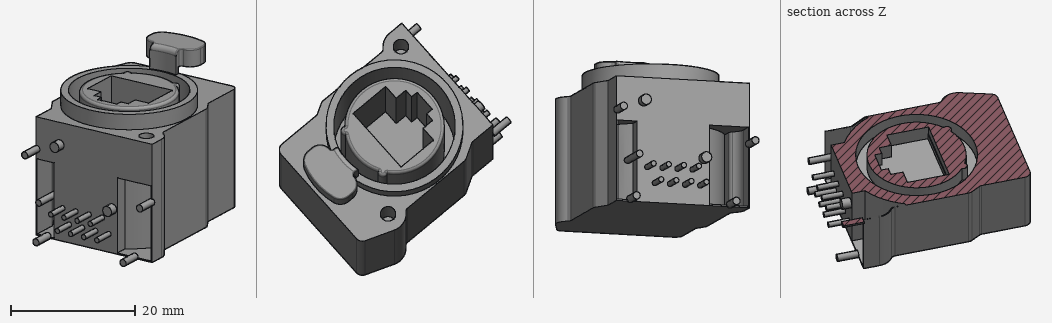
import cadquery as cq
import math


body_height = 20.34
front_y = -12.55
back_y = 16.43
front_left_x = -9.63
side_x = 11.22
back_right_x = 10.06
left_step_y = -8.15
right_step_y = 5.76
step_angle = 30
slant_angle = 20
back_corner_radius = 1.25
step_narrow_radius = 0.65
step_wide_radius = 1.2

ear_offset = 9.89
ear_radius = 2.89
ear_blend_radius = 0.8
ear_hole_diameter = 2.45
ear_hole_depth = 6.0

ring_height = 2.65
ring_radius = 11.0
ring_bore_radius = 9.75
core_radius = 8.0
core_rim_radius = 0.5
shell_depth = 15.0
key_radius = 0.75
key_orbit = 7.88
key_angle = 35.5
jack_top_y = 3.7
jack_ledge = 0.1
jack_ledge_height = 1.0
jack_steps = [(5.9, -3.2), (3.3, -5.23), (1.86, -6.4)]

lever_top_z = 6.79
button_thickness = 3.0
button_half_width = 5.0
button_back_y = 16.53
button_back_radius = 11.0
button_corner_radius = 2.08
button_side_back_y = 14.0
button_side_front_y = 13.16
button_front_radius = 2.0
neck_half_width = 2.54
neck_blend_radius = 0.5
stem_inner_radius = 10.1
stem_outer_radius = 10.8
lever_bend_radius = 0.9
button_edge_radius = 0.15

wall = 0.24
pocket_top_z = -7.2
pocket_core_radius = 12.0
left_pocket_end_x = -6.17
right_pocket_end_x = 6.05

pitch = 2.54
pin_length = 3.5
contact_diameter = 0.86
contact_first_x = -4.46
contact_rows_z = (-14.62, -17.16)
contact_count = 8
shield_diameter = 1.2
shield_low_z = -19.99
shield_places = [(-9.48, -5.5), (12.67, -9.94), (-7.32, shield_low_z), (9.46, shield_low_z)]
pocket_pin_diameter = 1.1
pocket_pin_place = (-6.82, -13.13)
peg_diameter = 1.7
peg_length = 1.5
peg_places = [(-2 * pitch, -3.84), (2 * pitch, -12.7)]

overlap = 1.0


def toward(start, end, distance):
    """Point at a distance from start in the direction of end."""
    length = math.dist(start, end)
    return tuple(s + (e - s) * distance / length for s, e in zip(start, end))


def polar(center, radius, degrees):
    angle = math.radians(degrees)
    return (center[0] + radius * math.cos(angle), center[1] + radius * math.sin(angle))


def angle_to(center, point):
    return math.degrees(math.atan2(point[1] - center[1], point[0] - center[0]))


def opposite(point):
    return (-point[0], -point[1])


def rounded_corner(path, before, corner, after, radius):
    """Line up to the corner, then an arc of the given radius around it."""
    to_before = angle_to(corner, before)
    to_after = angle_to(corner, after)
    half = abs((to_after - to_before + 180) % 360 - 180) / 2
    tangent = radius / math.tan(math.radians(half))
    start = toward(corner, before, tangent)
    end = toward(corner, after, tangent)
    chord_middle = ((start[0] + end[0]) / 2, (start[1] + end[1]) / 2)
    middle = toward(corner, chord_middle, radius / math.sin(math.radians(half)) - radius)
    return path.lineTo(*start).threePointArc(middle, end)


def body_outline(front):
    """Housing outline, with its straight front edge at the given y."""
    step_slope = math.tan(math.radians(step_angle))
    ear = (-ear_offset, ear_offset)

    left_low = (front_left_x, left_step_y)
    left_high = (-side_x, left_step_y + (side_x + front_left_x) / step_slope)
    right_low = (side_x, right_step_y)
    right_high = (back_right_x, right_step_y + (side_x - back_right_x) / step_slope)

    blend_x = -side_x - ear_blend_radius
    blend_rise = math.sqrt((ear_radius + ear_blend_radius) ** 2 - (blend_x - ear[0]) ** 2)
    blend = (blend_x, ear[1] - blend_rise)
    blend_side = (-side_x, blend[1])
    blend_ear = toward(blend, ear, ear_blend_radius)
    blend_middle = polar(blend, ear_blend_radius, angle_to(blend, blend_ear) / 2)

    ear_side = (ear[0] - ear_radius, ear[1])
    ear_end = polar(ear, ear_radius, 180 - slant_angle)
    slant_run = (back_y - ear_end[1]) * math.tan(math.radians(slant_angle))
    back_left = (ear_end[0] + slant_run, back_y)
    back_right = (back_right_x, back_y)
    ear_lower_angle = angle_to(ear, blend_ear) % 360
    ear_lower_middle = polar(ear, ear_radius, (ear_lower_angle + 180) / 2)
    front_right = (ear_offset + ear_radius, front)
    front_left = (front_left_x, front)

    path = cq.Workplane("XY").moveTo(*front_left)
    path = rounded_corner(path, front_left, left_low, left_high, step_narrow_radius)
    path = rounded_corner(path, left_low, left_high, blend_side, step_wide_radius)
    path = path.lineTo(*blend_side).threePointArc(blend_middle, blend_ear)
    path = path.threePointArc(ear_side, ear_end)
    path = rounded_corner(path, ear_end, back_left, back_right, back_corner_radius)
    path = rounded_corner(path, back_left, back_right, right_high, back_corner_radius)
    path = rounded_corner(path, back_right, right_high, right_low, step_narrow_radius)
    path = rounded_corner(path, right_high, right_low, opposite(blend_side), step_wide_radius)
    path = path.lineTo(*opposite(blend_side))
    path = path.threePointArc(opposite(blend_middle), opposite(blend_ear))
    path = path.threePointArc(opposite(ear_lower_middle), opposite(ear_side))
    return path.lineTo(*front_right).close()


def cylinder(radius, bottom, top, center=(0, 0)):
    base = cq.Workplane("XY").workplane(offset=bottom).center(*center)
    return base.circle(radius).extrude(top - bottom)


def block(x_range, y_range, z_range):
    size = [high - low for low, high in (x_range, y_range, z_range)]
    corner = (x_range[0], y_range[0], z_range[0])
    return cq.Workplane("XY").box(*size, centered=False).translate(corner)


def make_housing():
    housing = body_outline(front_y).extrude(-body_height)
    housing = housing.union(cylinder(ring_radius, -overlap, ring_height))
    housing = housing.cut(cylinder(ring_bore_radius, ring_height - shell_depth, ring_height))
    for sign in (-1, 1):
        center = (sign * ear_offset, -sign * ear_offset)
        housing = housing.cut(cylinder(ear_hole_diameter / 2, -ear_hole_depth, 0, center))
    return housing


def make_core():
    """Plug core with its two keys, a rounded rim and the stepped jack opening."""
    floor_z = ring_height - shell_depth
    core = cylinder(core_radius, floor_z - overlap, ring_height)
    for sign in (-1, 1):
        center = polar((0, 0), key_orbit, 90 + sign * key_angle)
        core = core.union(cylinder(key_radius, floor_z - overlap, ring_height, center))
    core = core.faces(">Z").edges().fillet(core_rim_radius)
    for half_width, low_y in jack_steps:
        core = core.cut(block((-half_width, half_width), (low_y, jack_top_y), (floor_z, ring_height)))
    width = jack_steps[0][0]
    ledge = block(
        (-width, width),
        (jack_top_y - jack_ledge, jack_top_y),
        (floor_z, floor_z + jack_ledge_height),
    )
    return core.union(ledge)


def make_pockets():
    """Openings in the front face that follow the outline one wall inside it."""
    floor_z = wall - body_height
    space = body_outline(front_y - overlap).offset2D(-wall).extrude(pocket_top_z - floor_z)
    space = space.translate((0, 0, floor_z))
    space = space.cut(cylinder(pocket_core_radius, -body_height, 0))
    keep_y = (front_y - overlap, 0)
    keep_z = (-body_height, 0)
    left = block((-ear_offset - ear_radius, left_pocket_end_x), keep_y, keep_z)
    right = block((right_pocket_end_x, ear_offset + ear_radius), keep_y, keep_z)
    return space.intersect(left.union(right))


def stem_point(radius, x):
    return (x, math.sqrt(radius ** 2 - x ** 2))


def make_button():
    back_center = (0, button_back_y - button_back_radius)
    corner_x = button_half_width - button_corner_radius
    corner_center = (corner_x, button_side_back_y)
    corner_angle = angle_to(back_center, corner_center)
    corner_end = polar(corner_center, button_corner_radius, corner_angle)
    corner_middle = polar(corner_center, button_corner_radius, corner_angle / 2)

    lobe = (button_half_width - button_front_radius, button_side_front_y)
    hollow_x = neck_half_width + neck_blend_radius
    lobe_gap = button_front_radius + neck_blend_radius
    hollow = (hollow_x, lobe[1] - math.sqrt(lobe_gap ** 2 - (hollow_x - lobe[0]) ** 2))
    lobe_end = toward(lobe, hollow, button_front_radius)
    lobe_middle = polar(lobe, button_front_radius, angle_to(lobe, lobe_end) / 2)
    hollow_middle = polar(hollow, neck_blend_radius, (angle_to(hollow, lobe_end) + 180) / 2)
    neck_side = (neck_half_width, hollow[1])
    neck_front = stem_point(stem_inner_radius, neck_half_width)

    def mirrored(point):
        return (-point[0], point[1])

    base = cq.Workplane("XY").workplane(offset=lever_top_z - button_thickness)
    path = base.moveTo(*mirrored(corner_end)).threePointArc((0, button_back_y), corner_end)
    path = path.threePointArc(corner_middle, (button_half_width, button_side_back_y))
    path = path.lineTo(button_half_width, button_side_front_y)
    path = path.threePointArc(lobe_middle, lobe_end).threePointArc(hollow_middle, neck_side)
    path = path.lineTo(*neck_front).threePointArc((0, stem_inner_radius), mirrored(neck_front))
    path = path.lineTo(*mirrored(neck_side)).threePointArc(mirrored(hollow_middle), mirrored(lobe_end))
    path = path.threePointArc(mirrored(lobe_middle), (-button_half_width, button_side_front_y))
    path = path.lineTo(-button_half_width, button_side_back_y)
    path = path.threePointArc(mirrored(corner_middle), mirrored(corner_end)).close()
    button = path.extrude(button_thickness)
    button = button.faces(">Z").edges("<Y").fillet(lever_bend_radius)
    return button.faces(">Z").edges(">Y").fillet(button_edge_radius)


def make_stem():
    """Curved strip that stands on the ring and carries the button."""
    top_z = lever_top_z - lever_bend_radius
    stem = cylinder(stem_outer_radius, ring_height - overlap, top_z)
    stem = stem.cut(cylinder(stem_inner_radius, ring_height - overlap, top_z))
    strip = block((-neck_half_width, neck_half_width), (0, ring_radius), (0, lever_top_z))
    return stem.intersect(strip)


def make_pin(place, diameter, length, root_y=front_y):
    """Pin at an (x, z) place, reaching from root_y to the given length before the front."""
    tip_y = front_y - length
    pin = cq.Workplane("XZ").center(*place).circle(diameter / 2).extrude(root_y - tip_y)
    return pin.translate((0, root_y, 0))


def make_pins():
    pins = [make_pin(place, shield_diameter, pin_length) for place in shield_places]
    pins += [make_pin(place, peg_diameter, peg_length) for place in peg_places]
    for index in range(contact_count):
        place = (contact_first_x + index * pitch / 2, contact_rows_z[index % 2])
        pins.append(make_pin(place, contact_diameter, pin_length))
    pocket_root_y = -math.sqrt(pocket_core_radius ** 2 - pocket_pin_place[0] ** 2) + overlap
    pins.append(make_pin(pocket_pin_place, pocket_pin_diameter, pin_length, pocket_root_y))
    return pins


result = make_housing().union(make_core()).cut(make_pockets())
result = result.union(make_stem()).union(make_button())
for pin in make_pins():
    result = result.union(pin)